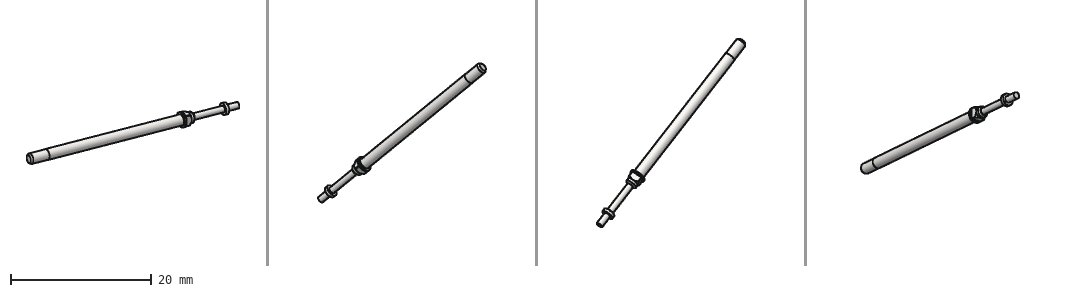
import cadquery as cq

total_length = 35.0
shank_length = 25.5
shank_diameter = 1.65
shank_tip_length = 3.0
shank_tip_diameter = 1.6
shank_chamfer_length = 0.3
shank_chamfer_depth = 0.2

flange_diameter = 2.3
flange_thickness = 0.3

neck_length = 1.98
neck_diameter = 1.7
neck_chamfer = 0.25
neck_round_length = 0.68
square_side = neck_diameter
square_corner_diameter = 2.3

pin_diameter = 1.0
collar_diameter = 1.8
collar_thickness = 0.5
collar_end_offset = 1.95

pin_end = total_length - shank_length
neck_end = neck_length
collar_start = pin_end - collar_end_offset - collar_thickness
square_end = neck_end - neck_round_length


def cylinder(diameter, start, end):
    """Solid cylinder on the Y axis between two stations."""
    disc = cq.Workplane("XZ", origin=(0, start, 0)).circle(diameter / 2)
    return disc.extrude(start - end)


def make_shank():
    """Long shank and its slightly thinner tip section, chamfered at the free end."""
    tip_start = shank_tip_length - shank_length
    main = cylinder(shank_diameter, tip_start, 0)
    tip = cylinder(shank_tip_diameter, -shank_length, tip_start)
    return main.union(tip.faces("<Y").chamfer(shank_chamfer_length, shank_chamfer_depth))


def make_neck():
    """Round neck, chamfered where it meets the pin."""
    return cylinder(neck_diameter, 0, neck_end).faces(">Y").chamfer(neck_chamfer)


def make_square():
    """Square section with rounded corners that taper at 45 degrees into the round neck."""
    corner_taper = (square_corner_diameter - neck_diameter) / 2
    envelope = cylinder(square_corner_diameter, 0, square_end).faces(">Y").chamfer(corner_taper)
    prism = cq.Workplane("XZ").rect(square_side, square_side).extrude(-square_end)
    return envelope.intersect(prism)


def make_pin():
    """Thin pin with its round collar."""
    pin = cylinder(pin_diameter, 0, pin_end)
    collar = cylinder(collar_diameter, collar_start, collar_start + collar_thickness)
    return pin.union(collar)


flange = cylinder(flange_diameter, 0, flange_thickness)
body = flange.union(make_neck()).union(make_square()).union(make_pin())
result = body.union(make_shank())